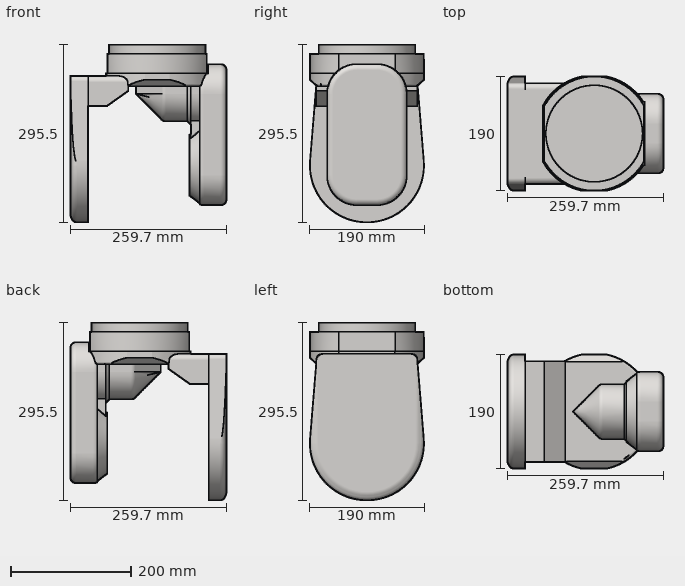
import cadquery as cq
import math

TOP_Z = 295.5

CAP_RADIUS = 80.5
CAP_BOTTOM_Z = 280.5
HEAD_DEPTH = 190.0
HEAD_HALF_DEPTH = HEAD_DEPTH / 2
COLLAR_RADIUS = HEAD_HALF_DEPTH
COLLAR_FLAT_X = 82.7
FLANGE_TOP_Z = 248.0
FLANGE_BOTTOM_Z = 226.0
FLANGE_RADIUS = 97.2
FLANGE_FLAT_X = 85.5
FLANGE_EDGE_RADIUS = 4.5
BEVEL_TOP_Z = 237.3
BEVEL_INSET = 12.5

PLATE_OUTER_X = -144.5
PLATE_INNER_X = -114.7
PLATE_RADIUS = HEAD_HALF_DEPTH
BRACKET_TOP_Z = 243.5
BRACKET_HALF_WIDTH = 84.0
PLATE_CORNER_RADIUS = 9.5
BLOCK_EDGE_RADIUS = 10.3
BLOCK_END_X = -48.0
BLOCK_BOTTOM_Z = 193.5
BLOCK_SLOPE_START_X = -83.3
BLOCK_SLOPE_END_Z = 218.7

EDGE_BEVEL_ANGLE = math.radians(64.5)
EDGE_SIDE_ARC_RADIUS = 9.5
EDGE_FACE_ARC_RADIUS = 12.0
EDGE_BEVEL_INSET = 3.3

ARM_INNER_X = 70.3
ARM_OUTER_X = 115.2
ARM_WIDTH = 132.7
ARM_HALF_WIDTH = ARM_WIDTH / 2
ARM_BOTTOM_Z = 28.7
ARM_TOP_Z = 263.3
ARM_CORNER_RADIUS = 49.5
ARM_OUTER_EDGE_RADIUS = 9.8
ARM_INNER_EDGE_RADIUS = 14.0
ARM_INNER_EDGE_END_X = 76.8
ARM_RELIEF_X = 84.2

PAD_AXIS_Z = ARM_BOTTOM_Z + ARM_HALF_WIDTH
PAD_FACE_X = 53.5
PAD_FACE_RADIUS = 50.5
PAD_BASE_RADIUS = 63.2

BARREL_TIP_ANGLE = math.radians(45)
BARREL_TIP_X = -35.5
BARREL_RADIUS = 45.8
BARREL_AXIS_Z = ARM_TOP_Z - ARM_CORNER_RADIUS
BARREL_EDGE_RADIUS = 9.0
BARREL_FLARE_X = 50.2
BARREL_FLARE = 6.0
NECK_HALF_WIDTH = 27.0


def block(x_range, half_width, z_range):
    """Box centred on Y = 0."""
    x0, x1 = x_range
    z0, z1 = z_range
    return (
        cq.Workplane("XY")
        .box(x1 - x0, 2 * half_width, z1 - z0, centered=(False, True, False))
        .translate((x0, 0, z0))
    )


def disc(radius, z0, z1):
    """Upright cylinder on the head axis."""
    return cq.Workplane("XY").workplane(offset=z0).circle(radius).extrude(z1 - z0)


def make_head():
    cap = disc(CAP_RADIUS, CAP_BOTTOM_Z, TOP_Z)

    collar_heights = (FLANGE_TOP_Z, CAP_BOTTOM_Z)
    collar = disc(COLLAR_RADIUS, *collar_heights).intersect(
        block((-COLLAR_FLAT_X, COLLAR_FLAT_X), HEAD_HALF_DEPTH, collar_heights)
    )

    flange_section = (
        cq.Workplane("YZ", origin=(-FLANGE_FLAT_X, 0, 0))
        .moveTo(-HEAD_HALF_DEPTH, FLANGE_TOP_Z)
        .lineTo(-HEAD_HALF_DEPTH, BEVEL_TOP_Z)
        .lineTo(-HEAD_HALF_DEPTH + BEVEL_INSET, FLANGE_BOTTOM_Z)
        .lineTo(HEAD_HALF_DEPTH - BEVEL_INSET, FLANGE_BOTTOM_Z)
        .lineTo(HEAD_HALF_DEPTH, BEVEL_TOP_Z)
        .lineTo(HEAD_HALF_DEPTH, FLANGE_TOP_Z)
        .close()
        .extrude(FLANGE_FLAT_X + ARM_RELIEF_X)
    )
    flange = (
        disc(FLANGE_RADIUS, FLANGE_BOTTOM_Z, FLANGE_TOP_Z)
        .faces("<Z")
        .edges()
        .fillet(FLANGE_EDGE_RADIUS)
        .intersect(flange_section)
    )
    return cap.union(collar).union(flange)


def plate_half_section():
    """Plate section through the axis of its round end, drawn as (x, distance from that axis)."""
    sin_a = math.sin(EDGE_BEVEL_ANGLE)
    cos_a = math.cos(EDGE_BEVEL_ANGLE)
    sin_half = math.sin(EDGE_BEVEL_ANGLE / 2)
    cos_half = math.cos(EDGE_BEVEL_ANGLE / 2)
    face_angle = math.pi / 2 - EDGE_BEVEL_ANGLE

    face_arc_x = PLATE_OUTER_X + EDGE_FACE_ARC_RADIUS
    bevel_start_x = face_arc_x - EDGE_FACE_ARC_RADIUS * sin_a
    bevel_end_x = bevel_start_x + EDGE_BEVEL_INSET * cos_a / sin_a
    side_arc_x = bevel_end_x + EDGE_SIDE_ARC_RADIUS * sin_a

    side_arc_r = PLATE_RADIUS - EDGE_SIDE_ARC_RADIUS
    bevel_end_r = side_arc_r + EDGE_SIDE_ARC_RADIUS * cos_a
    bevel_start_r = bevel_end_r - EDGE_BEVEL_INSET
    face_arc_r = bevel_start_r - EDGE_FACE_ARC_RADIUS * cos_a

    face_arc_middle = (
        face_arc_x - EDGE_FACE_ARC_RADIUS * math.cos(face_angle / 2),
        face_arc_r + EDGE_FACE_ARC_RADIUS * math.sin(face_angle / 2),
    )
    side_arc_middle = (
        side_arc_x - EDGE_SIDE_ARC_RADIUS * sin_half,
        side_arc_r + EDGE_SIDE_ARC_RADIUS * cos_half,
    )
    return (
        cq.Workplane("XY")
        .moveTo(PLATE_INNER_X, 0)
        .lineTo(PLATE_OUTER_X, 0)
        .lineTo(PLATE_OUTER_X, face_arc_r)
        .threePointArc(face_arc_middle, (bevel_start_x, bevel_start_r))
        .lineTo(bevel_end_x, bevel_end_r)
        .threePointArc(side_arc_middle, (side_arc_x, PLATE_RADIUS))
        .lineTo(PLATE_INNER_X, PLATE_RADIUS)
        .close()
    )


def make_plate():
    height_above_axis = BRACKET_TOP_Z - PLATE_RADIUS
    round_end = plate_half_section().revolve(360, (0, 0), (1, 0))
    half_upper = plate_half_section().extrude(height_above_axis)
    plate = round_end.union(half_upper).union(half_upper.mirror("XZ")).translate((0, 0, PLATE_RADIUS))

    side_z = BRACKET_TOP_Z - PLATE_CORNER_RADIUS
    rise = side_z - PLATE_RADIUS
    tangent_angle = math.atan2(rise, BRACKET_HALF_WIDTH) - math.acos(
        PLATE_RADIUS / math.hypot(rise, BRACKET_HALF_WIDTH)
    )
    tangent_y = PLATE_RADIUS * math.cos(tangent_angle)
    tangent_z = PLATE_RADIUS * (1 + math.sin(tangent_angle))
    top_half_width = BRACKET_HALF_WIDTH - PLATE_CORNER_RADIUS
    outline = (
        cq.Workplane("YZ", origin=(PLATE_OUTER_X, 0, 0))
        .moveTo(-tangent_y, tangent_z)
        .threePointArc((0, 0), (tangent_y, tangent_z))
        .lineTo(BRACKET_HALF_WIDTH, side_z)
        .radiusArc((top_half_width, BRACKET_TOP_Z), -PLATE_CORNER_RADIUS)
        .lineTo(-top_half_width, BRACKET_TOP_Z)
        .radiusArc((-BRACKET_HALF_WIDTH, side_z), -PLATE_CORNER_RADIUS)
        .close()
        .extrude(PLATE_INNER_X - PLATE_OUTER_X)
    )
    return plate.intersect(outline)


def make_bracket_block():
    return (
        cq.Workplane("XZ")
        .moveTo(PLATE_INNER_X, BRACKET_TOP_Z)
        .lineTo(BLOCK_END_X, BRACKET_TOP_Z)
        .lineTo(BLOCK_END_X, BLOCK_SLOPE_END_Z)
        .lineTo(BLOCK_SLOPE_START_X, BLOCK_BOTTOM_Z)
        .lineTo(PLATE_INNER_X, BLOCK_BOTTOM_Z)
        .close()
        .extrude(BRACKET_HALF_WIDTH, both=True)
        .faces(">Z")
        .edges("|X")
        .fillet(BLOCK_EDGE_RADIUS)
    )


def make_arm():
    blank_x = ARM_INNER_EDGE_END_X - ARM_INNER_EDGE_RADIUS
    blank = (
        block((blank_x, ARM_OUTER_X), ARM_HALF_WIDTH, (ARM_BOTTOM_Z, ARM_TOP_Z))
        .edges("|X")
        .fillet(ARM_CORNER_RADIUS)
        .faces(">X")
        .edges()
        .fillet(ARM_OUTER_EDGE_RADIUS)
        .faces("<X")
        .edges()
        .fillet(ARM_INNER_EDGE_RADIUS)
    )
    inner_trim = block((blank_x, ARM_INNER_X), ARM_HALF_WIDTH, (ARM_BOTTOM_Z, ARM_TOP_Z))
    collar_relief = block((blank_x, ARM_RELIEF_X), ARM_HALF_WIDTH, (FLANGE_TOP_Z, ARM_TOP_Z))
    return blank.cut(inner_trim).cut(collar_relief)


def make_pad():
    return (
        cq.Workplane("XY")
        .moveTo(PAD_FACE_X, 0)
        .lineTo(PAD_FACE_X, PAD_FACE_RADIUS)
        .lineTo(ARM_INNER_X, PAD_BASE_RADIUS)
        .lineTo(ARM_INNER_X, 0)
        .close()
        .revolve(360, (0, 0), (1, 0))
        .translate((0, 0, PAD_AXIS_Z))
    )


def barrel_profile():
    """Radius along X: pointed tip with a rounded shoulder, then a flare before the arm."""
    shoulder_x = BARREL_TIP_X + BARREL_RADIUS / math.tan(BARREL_TIP_ANGLE)
    tangent = BARREL_EDGE_RADIUS * math.tan(BARREL_TIP_ANGLE / 2)
    arc_start_x = shoulder_x - tangent * math.cos(BARREL_TIP_ANGLE)
    arc_start_radius = BARREL_RADIUS - tangent * math.sin(BARREL_TIP_ANGLE)
    flare_end_x = BARREL_FLARE_X + BARREL_FLARE
    flare_radius = BARREL_RADIUS + BARREL_FLARE
    return (
        cq.Workplane("XY")
        .moveTo(BARREL_TIP_X, 0)
        .lineTo(arc_start_x, arc_start_radius)
        .radiusArc((shoulder_x + tangent, BARREL_RADIUS), BARREL_EDGE_RADIUS)
        .lineTo(BARREL_FLARE_X, BARREL_RADIUS)
        .lineTo(flare_end_x, flare_radius)
        .lineTo(ARM_INNER_X, flare_radius)
        .lineTo(ARM_INNER_X, 0)
        .close()
    )


def make_barrel():
    round_lower = barrel_profile().revolve(360, (0, 0), (1, 0))
    rise = BEVEL_TOP_Z - BARREL_AXIS_Z
    half_upper = barrel_profile().extrude(rise)
    barrel_space = block((BARREL_TIP_X, ARM_INNER_X), HEAD_HALF_DEPTH, (0, BEVEL_TOP_Z))
    return (
        round_lower.union(half_upper)
        .union(half_upper.mirror("XZ"))
        .translate((0, 0, BARREL_AXIS_Z))
        .intersect(barrel_space)
    )


def make_neck():
    """Rib joining the pad to the flared end of the barrel."""
    inner_x = BARREL_FLARE_X + BARREL_FLARE
    return block((inner_x, ARM_INNER_X), NECK_HALF_WIDTH, (PAD_AXIS_Z, BARREL_AXIS_Z))


result = (
    make_head()
    .union(make_plate())
    .union(make_bracket_block())
    .union(make_arm())
    .union(make_pad())
    .union(make_barrel())
    .union(make_neck())
)